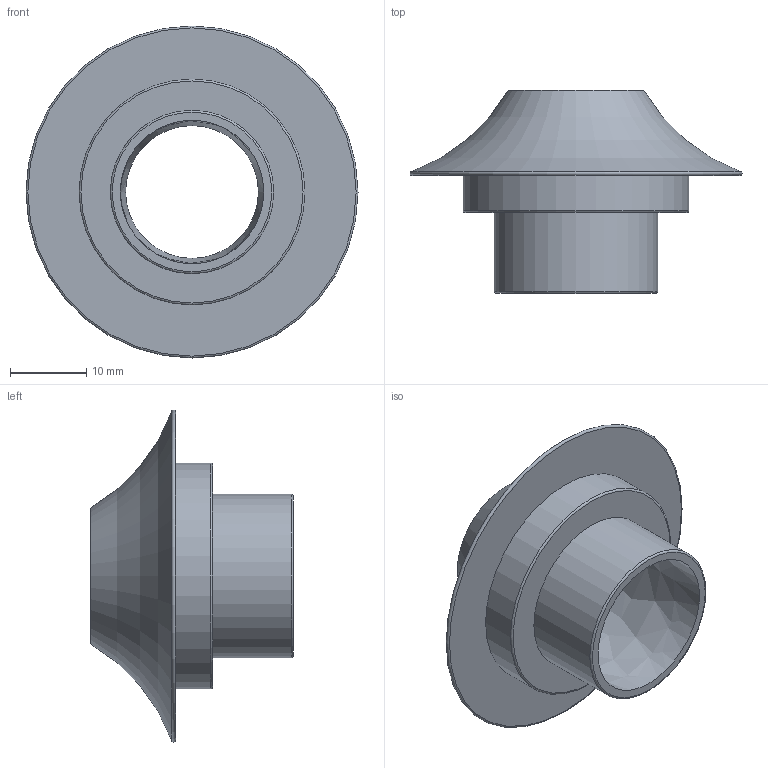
import math

import cadquery as cq

flange_radius = 43.5 / 2
collar_radius = 14.8
tube_radius = 10.7
nose_radius = 8.9

total_length = 26.58
tube_length = 10.6
collar_length = 4.85

edge_fillet = 0.25
rim_slope = math.radians(20)

bore_entry_radius = 9.4
bore_exit_radius = 8.7
bore_exit_slope = 0.3

flange_start = 0
collar_start = flange_start - collar_length
tube_start = collar_start - tube_length
nose_end = tube_start + total_length


def rounded_step(profile, radius, start, end):
    """Extend the half-section along a -Y face, round its rim and run along +Y to `end`."""
    return (
        profile.lineTo(-(radius - edge_fillet), start)
        .radiusArc((-radius, start + edge_fillet), edge_fillet)
        .lineTo(-radius, end)
    )


def rounded_flange_edge(profile):
    """Extend the half-section along the flange underside and round its edge onto the flare."""
    edge_center_radius = flange_radius - edge_fillet
    edge_center_y = flange_start + edge_fillet
    flare_start = (
        -(edge_center_radius + edge_fillet * math.sin(rim_slope)),
        edge_center_y + edge_fillet * math.cos(rim_slope),
    )
    return (
        profile.lineTo(-edge_center_radius, flange_start)
        .threePointArc((-flange_radius, edge_center_y), flare_start)
    )


def turned_body():
    """Tube, collar, flange rim and concave flare as one half-section revolved about Y."""
    profile = cq.Workplane("XY").moveTo(0, tube_start)
    profile = rounded_step(profile, tube_radius, tube_start, collar_start)
    profile = rounded_step(profile, collar_radius, collar_start, flange_start)
    profile = rounded_flange_edge(profile)
    profile = profile.tangentArcPoint((-nose_radius, nose_end), relative=False)
    profile = profile.lineTo(0, nose_end).close()
    return profile.revolve(360, (0, 0, 0), (0, 1, 0))


def curved_bore():
    """Through bore that starts along Y, swells slightly and then narrows to the nose."""
    return (
        cq.Workplane("XY")
        .moveTo(0, tube_start)
        .lineTo(-bore_entry_radius, tube_start)
        .spline(
            [(-bore_exit_radius, nose_end)],
            tangents=[(0, 1), (bore_exit_slope, 1)],
            includeCurrent=True,
        )
        .lineTo(0, nose_end)
        .close()
        .revolve(360, (0, 0, 0), (0, 1, 0))
    )


result = turned_body().cut(curved_bore())